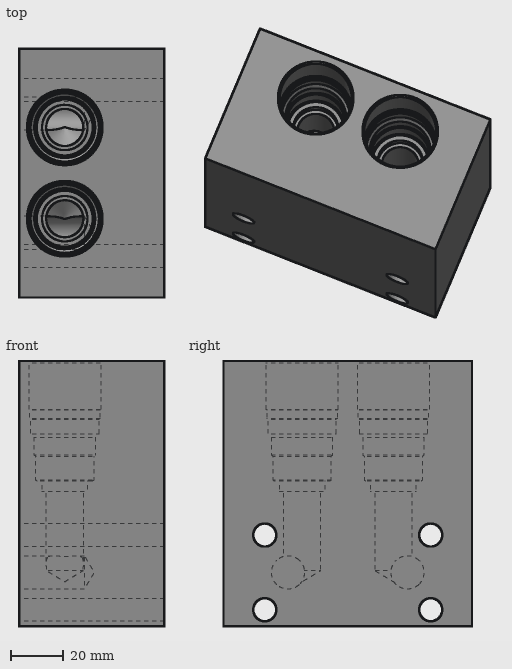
import cadquery as cq
import math

LENGTH_X = 55.58
LENGTH_Y = 95.25
HEIGHT = 101.6

DRILL_HALF_ANGLE = 59.0

CAVITY_X = 17.46
CAVITY_OFFSET_Y = 17.46
MOUTH_RADIUS = 14.5
LIP_RADIUS = 14.0
THREAD_RADIUS = 13.78
RELIEF_RADIUS = 13.5
GUIDE_RADIUS = 13.05
NOSE_RADIUS = 11.7
SEAT_RADIUS = 11.15
SEAT_FLOOR_RADIUS = 10.7
STEP_RADIUS = 8.7
FOOT_RADIUS = 7.1
LIP_DEPTH = MOUTH_RADIUS - LIP_RADIUS
THREAD_DEPTH = 0.8
THREAD_END_DEPTH = 18.6
RELIEF_END_DEPTH = 22.0
GUIDE_END_DEPTH = 28.0
SEAT_DEPTH = 36.0
SEAT_END_DEPTH = 46.0
STEP_END_DEPTH = 50.0
FOOT_END_DEPTH = 80.3

PATTERN_Z = 20.64
PORT_OFFSET_Y = 22.86
PORT_RADIUS = 6.35
PORT_DEPTH = 25.0
BOLT_OFFSET_Y = 31.75
BOLT_SPACING_Z = 28.575
BOLT_RADIUS = 4.37


def drill_tip_length(radius):
    return radius / math.tan(math.radians(DRILL_HALF_ANGLE))


def cavity(y):
    relief_depth = THREAD_END_DEPTH + THREAD_RADIUS - RELIEF_RADIUS
    guide_depth = RELIEF_END_DEPTH + RELIEF_RADIUS - GUIDE_RADIUS
    nose_depth = GUIDE_END_DEPTH + GUIDE_RADIUS - NOSE_RADIUS
    seat_bore_depth = SEAT_DEPTH + NOSE_RADIUS - SEAT_RADIUS
    seat_floor_depth = SEAT_END_DEPTH - (SEAT_RADIUS - SEAT_FLOOR_RADIUS)
    profile = [
        (0, 0),
        (MOUTH_RADIUS, 0),
        (LIP_RADIUS, -LIP_DEPTH),
        (THREAD_RADIUS, -THREAD_DEPTH),
        (THREAD_RADIUS, -THREAD_END_DEPTH),
        (RELIEF_RADIUS, -relief_depth),
        (RELIEF_RADIUS, -RELIEF_END_DEPTH),
        (GUIDE_RADIUS, -guide_depth),
        (GUIDE_RADIUS, -GUIDE_END_DEPTH),
        (NOSE_RADIUS, -nose_depth),
        (NOSE_RADIUS, -SEAT_DEPTH),
        (SEAT_RADIUS, -seat_bore_depth),
        (SEAT_RADIUS, -seat_floor_depth),
        (SEAT_FLOOR_RADIUS, -SEAT_END_DEPTH),
        (STEP_RADIUS, -SEAT_END_DEPTH),
        (STEP_RADIUS, -STEP_END_DEPTH),
        (FOOT_RADIUS, -STEP_END_DEPTH),
        (FOOT_RADIUS, -FOOT_END_DEPTH),
        (0, -FOOT_END_DEPTH - drill_tip_length(FOOT_RADIUS)),
    ]
    bore = cq.Workplane("XZ").polyline(profile).close().revolve(360, (0, 0), (0, 1))
    return bore.translate((CAVITY_X, y, HEIGHT))


def port(y):
    profile = [
        (0, 0),
        (0, PORT_RADIUS),
        (PORT_DEPTH, PORT_RADIUS),
        (PORT_DEPTH + drill_tip_length(PORT_RADIUS), 0),
    ]
    drilled = cq.Workplane("XY").polyline(profile).close().revolve(360, (0, 0), (1, 0))
    return drilled.translate((0, y, PATTERN_Z))


def bolt_hole(y, z):
    return cq.Workplane("YZ").center(y, z).circle(BOLT_RADIUS).extrude(LENGTH_X)


result = cq.Workplane("XY").box(LENGTH_X, LENGTH_Y, HEIGHT, centered=(False, True, False))
for side in (-1, 1):
    result = result.cut(cavity(side * CAVITY_OFFSET_Y))
    result = result.cut(port(side * PORT_OFFSET_Y))
    for level in (-1, 1):
        bolt_z = PATTERN_Z + level * BOLT_SPACING_Z / 2
        result = result.cut(bolt_hole(side * BOLT_OFFSET_Y, bolt_z))